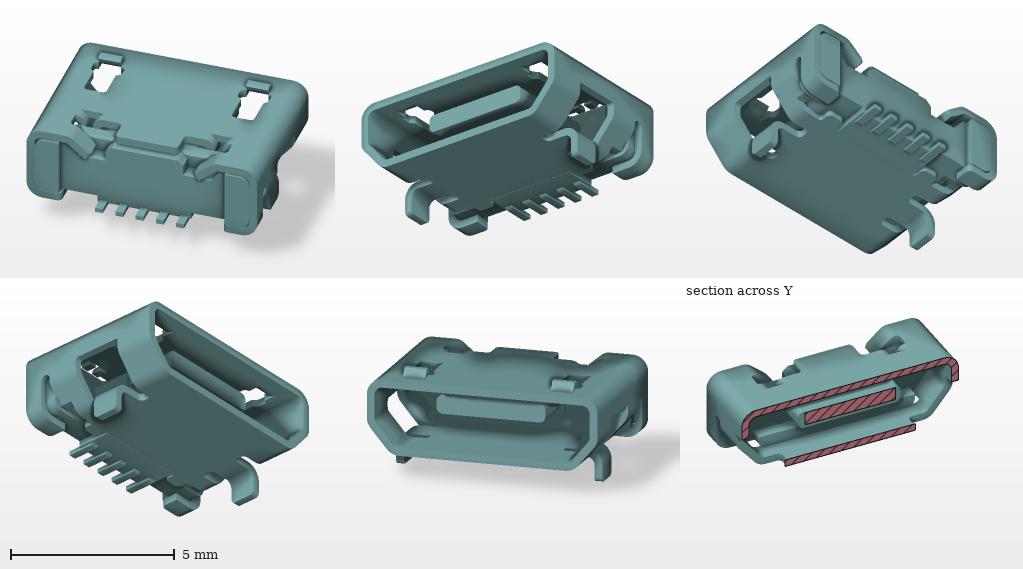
import cadquery as cq
import math


CLEARANCE = 0.075

WIDTH = 7.4
HALF_WIDTH = WIDTH / 2
LENGTH = 5.0
SHELL_TOP = 2.45
SHEET = 0.25
BEND = 2 * SHEET
INNER_HALF = HALF_WIDTH - SHEET
INNER_TOP = SHELL_TOP - SHEET

MOUTH_BOTTOM = 0.08
PLATE_TOP = MOUTH_BOTTOM + SHEET
TAPER_TOP = 1.03
MOUTH_BOTTOM_HALF = 2.91
MOUTH_FLAT_HALF = 2.67

SLOT_REAR = 0.61
SLOT_FRONT = 0.95
SLOT_TOP = 1.37
SLOT_ROUND = 0.16
BOTTOM_EDGE = 1.39
TAPER_NOTCH_TOP = 0.42
TAIL_REAR = 0.99
TAIL_INNER = 1.6
TAIL_OUTER = 2.205
TAIL_ROUND = 0.155
TAIL_ROOT_ROUND = 0.1
REAR_FLANGE_INNER = 2.59
FLANGE_ROUND = 0.16

OPEN_FRONT = 1.16
OPEN_SIDE = 2.52
OPEN_CHAMFER = 0.075
FLAP_FRONT = 0.66
TONGUE_REAR = 0.45
TONGUE_HALF = 1.01
TONGUE_ROUND = 0.13
CURL_FRONT = 1.5
CURL_INNER = 1.61
CURL_RADIUS = 0.35

FLAP_ROOT = 2.465
FLAP_TIP = 1.665
FLAP_ANGLE = math.radians(40)
FLAP_BEND = 0.4
FLAP_ROUND = 0.15

SPRING_INNER = 2.01
SPRING_OUTER = 2.73
SPRING_ROOT = 4.55
SPRING_RISE = 0.24
SPRING_ANGLE = math.radians(60)
SPRING_CHAMFER = 0.075
LATCH_REAR = 2.575
LATCH_FRONT = 4.05
LATCH_OUTER = 2.86
LATCH_INNER = 1.85
LATCH_NECK = 3.545
LATCH_WIDE_REAR = 3.69
LATCH_ROUND = 0.09
LATCH_INNER_ROUND = 0.16
LATCH_END_ROUND = 0.12

LEG_REAR = 2.42
LEG_FRONT = 3.315
LEG_OUTER = 3.31
LEG_BOTTOM = -0.695
LEG_ROUND = 0.15
LEG_BEND_X = LEG_OUTER - BEND
WINDOW_REAR = 2.005
WINDOW_FRONT = 3.71
WINDOW_TOP = 1.48
WINDOW_ROUND = 0.095
RELIEF_INNER = 2.16
RELIEF_ROUND = 0.155

HOUSING_REAR = 0.245
HOUSING_FRONT = 1.11
CENTER_HALF = 1.41
BASE_TOP = 0.74
HOUSING_TOP = 2.13
HOUSING_BOTTOM = 0.29
HOUSING_ROUND = 0.34
PILLAR_REAR = -0.02
PILLAR_INNER = 2.67
FOOT_BOTTOM = 0.075
FOOT_HALF = 1.5
POCKET_FLOOR = 1.63
POCKET_OUTER_TOP = 2.55
POCKET_OUTER_FOOT = 2.16
POCKET_INNER = 1.24
POCKET_LIP = 1.05
POCKET_LIP_FOOT = 1.96
POCKET_FRONT = 0.72
POCKET_BEVEL = 0.07
BEVEL_OUTER = 2.1
BLADE_HALF = 1.75
BLADE_BOTTOM = 1.28
BLADE_TOP = 1.865
BLADE_FRONT = 4.145
BLADE_ROUND = 0.2
GROOVE_REAR = 2.36
GROOVE_FRONT = 2.745
GROOVE_TOP = 1.405
NOTCH_DEPTH = 0.2

PIN_COUNT = 5
PIN_PITCH = 0.65
PIN_WIDTH = 0.25
PIN_THICK = 0.15
PIN_REAR = -0.215
PIN_FRONT = 0.75
PIN_ROUND = 0.14


def box(x0, x1, y0, y1, z0, z1):
    return cq.Workplane("XY").box(x1 - x0, y1 - y0, z1 - z0, centered=False).translate((x0, y0, z0))


def profile_along_y(points, y0):
    return cq.Workplane("XZ", origin=(0, y0, 0)).polyline(points).close()


def both_sides(left):
    return left.union(left.mirror("YZ"))


def corners_between(half_width, y, z0, z1):
    """Selector for edges near depth y, up to half_width on both sides of the middle."""
    reach = half_width + CLEARANCE
    return cq.selectors.BoxSelector((-reach, y - CLEARANCE, z0), (reach, y + CLEARANCE, z1))


def point_on(center, radius, angle):
    return (center[0] + radius * math.cos(angle), center[1] + radius * math.sin(angle))


def tube(points, y0, y1):
    """Bent sheet tube following a closed outline in the XZ plane."""
    outer = profile_along_y(points, y0).extrude(y0 - y1).edges("|Y").fillet(BEND)
    inner = profile_along_y(points, y0).offset2D(-SHEET).extrude(y0 - y1)
    return outer.cut(inner.edges("|Y").fillet(BEND - SHEET))


def shell_tubes():
    rear_outline = [
        (-HALF_WIDTH, SHELL_TOP),
        (HALF_WIDTH, SHELL_TOP),
        (HALF_WIDTH, 0),
        (-HALF_WIDTH, 0),
    ]
    mouth_outline = [
        (-HALF_WIDTH, SHELL_TOP),
        (HALF_WIDTH, SHELL_TOP),
        (HALF_WIDTH, TAPER_TOP),
        (MOUTH_BOTTOM_HALF, MOUTH_BOTTOM),
        (-MOUTH_BOTTOM_HALF, MOUTH_BOTTOM),
        (-HALF_WIDTH, TAPER_TOP),
    ]
    joint = (SLOT_REAR + SLOT_FRONT) / 2
    return tube(rear_outline, 0, joint).union(tube(mouth_outline, joint, LENGTH))


def rear_relief():
    """Side slots behind the mouth section and the opening between the rear flanges."""
    slot = box(-HALF_WIDTH, HALF_WIDTH, SLOT_REAR, SLOT_FRONT, -BEND, SLOT_TOP)
    slot = slot.edges("|X and >Z").fillet(SLOT_ROUND)
    opening = box(-REAR_FLANGE_INNER, REAR_FLANGE_INNER, -CLEARANCE, SLOT_REAR, -CLEARANCE, SHEET)
    return slot.union(opening)


def bottom_edge_cut():
    """Cut along the rear edge of the bottom plate that leaves two rounded tails."""
    cut = box(-HALF_WIDTH, HALF_WIDTH, SLOT_REAR, BOTTOM_EDGE, -CLEARANCE, TAPER_NOTCH_TOP)
    tail = box(-TAIL_OUTER, -TAIL_INNER, TAIL_REAR, BOTTOM_EDGE, -CLEARANCE, TAPER_NOTCH_TOP)
    tail = tail.edges("|Z and <Y").fillet(TAIL_ROUND)
    cut = cut.cut(both_sides(tail))
    roots = corners_between(TAIL_OUTER, BOTTOM_EDGE, -CLEARANCE, TAPER_NOTCH_TOP)
    return cut.edges("|Z").edges(roots).fillet(TAIL_ROOT_ROUND)


def top_opening():
    """Stepped cut through the rear of the top plate, leaving a central tongue."""
    wide = box(-OPEN_SIDE, OPEN_SIDE, FLAP_FRONT, OPEN_FRONT, INNER_TOP, SHELL_TOP)
    wide = wide.edges("|Z and <Y").chamfer(OPEN_CHAMFER)
    rear = box(-FLAP_ROOT, FLAP_ROOT, -CLEARANCE, FLAP_FRONT, INNER_TOP, SHELL_TOP)
    cut = wide.union(rear)
    tongue = box(-TONGUE_HALF, TONGUE_HALF, TONGUE_REAR, OPEN_FRONT, INNER_TOP, SHELL_TOP)
    cut = cut.cut(tongue.edges("|Z and <Y").fillet(TONGUE_ROUND))
    inner_corner = corners_between(TONGUE_HALF, OPEN_FRONT, INNER_TOP, SHELL_TOP)
    cut = cut.edges("|Z").edges(inner_corner).fillet(TONGUE_ROUND)
    curl_gap = box(-OPEN_SIDE, -CURL_INNER, OPEN_FRONT, CURL_FRONT, INNER_TOP, SHELL_TOP)
    return cut.union(both_sides(curl_gap))


def curls():
    """Pairs of quarter-round tabs rolled down toward each other."""
    width = CURL_FRONT - OPEN_FRONT

    def curl(axis_x):
        ring = cq.Workplane("XZ", origin=(axis_x, OPEN_FRONT, SHELL_TOP - CURL_RADIUS))
        return ring.circle(CURL_RADIUS).circle(CURL_RADIUS - SHEET).extrude(-width)

    gap = box(-OPEN_SIDE, -CURL_INNER, OPEN_FRONT, CURL_FRONT, SHELL_TOP - CURL_RADIUS, SHELL_TOP)
    return both_sides(curl(-OPEN_SIDE).union(curl(-CURL_INNER)).intersect(gap))


def flaps():
    """Top plate corners bent down and inward behind the housing."""
    center = (-FLAP_ROOT, SHELL_TOP - FLAP_BEND)
    up = math.pi / 2
    end = up - FLAP_ANGLE
    middle = up - FLAP_ANGLE / 2
    inner_bend = FLAP_BEND - SHEET
    upper_end = point_on(center, FLAP_BEND, end)
    lower_end = point_on(center, inner_bend, end)
    run = (-FLAP_TIP - upper_end[0]) / math.cos(FLAP_ANGLE)
    upper_tip = point_on(upper_end, run, -FLAP_ANGLE)
    lower_tip = point_on(lower_end, run, -FLAP_ANGLE)
    flap = (
        cq.Workplane("XZ")
        .moveTo(*point_on(center, FLAP_BEND, up))
        .threePointArc(point_on(center, FLAP_BEND, middle), upper_end)
        .lineTo(*upper_tip)
        .lineTo(*lower_tip)
        .lineTo(*lower_end)
        .threePointArc(point_on(center, inner_bend, middle), point_on(center, inner_bend, up))
        .close()
        .extrude(-FLAP_FRONT)
    )
    plan = box(-FLAP_ROOT, -FLAP_TIP, 0, FLAP_FRONT, 0, SHELL_TOP)
    return both_sides(flap.intersect(plan.edges("|Z and >X").fillet(FLAP_ROUND)))


def latch_openings():
    narrow = box(-SPRING_OUTER, -SPRING_INNER, LATCH_REAR, SPRING_ROOT, INNER_TOP, SHELL_TOP)
    narrow = narrow.edges("|Z and <Y").fillet(LATCH_END_ROUND)
    wide_outline = [
        (-LATCH_OUTER, LATCH_FRONT),
        (-LATCH_INNER, LATCH_FRONT),
        (-LATCH_INNER, LATCH_WIDE_REAR),
        (-SPRING_INNER, LATCH_NECK),
        (-SPRING_OUTER, LATCH_NECK),
        (-LATCH_OUTER, LATCH_WIDE_REAR),
    ]
    wide = cq.Workplane("XY", origin=(0, 0, INNER_TOP)).polyline(wide_outline).close().extrude(SHEET)
    wide = wide.edges("|Z and <X").fillet(LATCH_ROUND)
    wide = wide.edges("|Z and >X").fillet(LATCH_INNER_ROUND)
    return both_sides(narrow.union(wide))


def springs():
    """Latch arms curving up out of the top plate toward the rear."""
    center = (SPRING_ROOT, SHELL_TOP + SHEET)
    down = -math.pi / 2
    end = down - SPRING_ANGLE
    middle = down - SPRING_ANGLE / 2
    upper_bend = SHEET
    lower_bend = upper_bend + SHEET
    upper_end = point_on(center, upper_bend, end)
    lower_end = point_on(center, lower_bend, end)
    tip_z = SHELL_TOP + SPRING_RISE
    slope = math.tan(SPRING_ANGLE)
    upper_tip_y = upper_end[0] - (tip_z - upper_end[1]) / slope
    chamfer_z = tip_z - SPRING_CHAMFER
    lower_tip_y = lower_end[0] - (chamfer_z - lower_end[1]) / slope
    spring = (
        cq.Workplane("YZ", origin=(-SPRING_OUTER, 0, 0))
        .moveTo(*point_on(center, upper_bend, down))
        .threePointArc(point_on(center, upper_bend, middle), upper_end)
        .lineTo(upper_tip_y, tip_z)
        .lineTo(lower_tip_y + SPRING_CHAMFER, tip_z)
        .lineTo(lower_tip_y, chamfer_z)
        .lineTo(*lower_end)
        .threePointArc(point_on(center, lower_bend, middle), point_on(center, lower_bend, down))
        .close()
        .extrude(SPRING_OUTER - SPRING_INNER)
    )
    return both_sides(spring)


def side_windows():
    """Openings around the legs, with relief slots on both sides of each leg."""
    window = box(-HALF_WIDTH, -MOUTH_FLAT_HALF, WINDOW_REAR, WINDOW_FRONT, 0, WINDOW_TOP)
    cut = window.edges("|X and >Z").fillet(WINDOW_ROUND)
    for y0, y1 in ((WINDOW_REAR, LEG_REAR), (LEG_FRONT, WINDOW_FRONT)):
        relief = box(-HALF_WIDTH, -RELIEF_INNER, y0, y1, 0, PLATE_TOP)
        cut = cut.union(relief.edges("|Z and >X").fillet(RELIEF_ROUND))
    return both_sides(cut)


def legs():
    """Board legs rolled out of the bottom plate and turned straight down."""
    bend_z = PLATE_TOP - BEND
    width = LEG_FRONT - LEG_REAR
    ring = cq.Workplane("XZ", origin=(-LEG_BEND_X, LEG_REAR, bend_z))
    ring = ring.circle(BEND).circle(BEND - SHEET).extrude(-width)
    bend = ring.intersect(box(-LEG_OUTER, -LEG_BEND_X, LEG_REAR, LEG_FRONT, bend_z, PLATE_TOP))
    root = box(-LEG_BEND_X, -MOUTH_FLAT_HALF, LEG_REAR, LEG_FRONT, MOUTH_BOTTOM, PLATE_TOP)
    blade = box(-LEG_OUTER, -LEG_OUTER + SHEET, LEG_REAR, LEG_FRONT, LEG_BOTTOM, bend_z)
    blade = blade.edges("|X and <Z").fillet(LEG_ROUND)
    return both_sides(root.union(bend).union(blade))


def flap_pockets():
    """Pockets in the rear top of the housing that receive the bent flaps."""
    outline = [
        (-POCKET_OUTER_TOP, HOUSING_TOP),
        (-POCKET_OUTER_FOOT, POCKET_FLOOR),
        (-POCKET_INNER, POCKET_FLOOR),
        (-POCKET_INNER, POCKET_LIP_FOOT),
        (-POCKET_LIP, HOUSING_TOP),
    ]
    pocket = profile_along_y(outline, HOUSING_REAR).extrude(HOUSING_REAR - POCKET_FRONT)
    bevel = (
        cq.Workplane("YZ", origin=(-BEVEL_OUTER, 0, 0))
        .moveTo(POCKET_FRONT, HOUSING_TOP)
        .lineTo(POCKET_FRONT + POCKET_BEVEL, HOUSING_TOP)
        .lineTo(POCKET_FRONT, HOUSING_TOP - POCKET_BEVEL)
        .close()
        .extrude(BEVEL_OUTER - POCKET_LIP)
    )
    return both_sides(pocket.union(bevel))


def housing():
    """Plastic body with side pillars, a stepped front and the contact blade."""
    body = box(-INNER_HALF, INNER_HALF, PILLAR_REAR, SLOT_FRONT, HOUSING_BOTTOM, HOUSING_TOP)
    body = body.edges("|Y").fillet(HOUSING_ROUND)
    recess = box(-PILLAR_INNER, PILLAR_INNER, PILLAR_REAR, HOUSING_REAR, 0, SHELL_TOP)
    core = box(-PILLAR_INNER, PILLAR_INNER, SLOT_REAR, HOUSING_FRONT, BASE_TOP, HOUSING_TOP)
    center = box(-CENTER_HALF, CENTER_HALF, HOUSING_FRONT, OPEN_FRONT, BASE_TOP, HOUSING_TOP)
    base = box(-PILLAR_INNER, PILLAR_INNER, SLOT_REAR, CURL_FRONT, HOUSING_BOTTOM, BASE_TOP)
    base = base.edges("|Y and <Z").fillet(HOUSING_ROUND)
    foot = box(-FOOT_HALF, FOOT_HALF, HOUSING_REAR, BOTTOM_EDGE, FOOT_BOTTOM, HOUSING_BOTTOM)
    blade = box(-BLADE_HALF, BLADE_HALF, HOUSING_FRONT, BLADE_FRONT, BLADE_BOTTOM, BLADE_TOP)
    blade = blade.edges("|Y").fillet(BLADE_ROUND)
    groove = box(-BLADE_HALF, BLADE_HALF, GROOVE_REAR, GROOVE_FRONT, BLADE_BOTTOM, GROOVE_TOP)
    notch_x = -BLADE_HALF + NOTCH_DEPTH
    notch = box(-BLADE_HALF, notch_x, GROOVE_REAR, GROOVE_FRONT, BLADE_BOTTOM, BLADE_TOP)
    blade = blade.cut(groove).cut(both_sides(notch))
    body = body.cut(recess).union(core).union(center).union(base).cut(flap_pockets())
    return body.union(foot).union(blade)


def terminals():
    pins = cq.Workplane("XY")
    for index in range(PIN_COUNT):
        x = (index - (PIN_COUNT - 1) / 2) * PIN_PITCH
        pin = box(x - PIN_WIDTH / 2, x + PIN_WIDTH / 2, PIN_REAR, PIN_FRONT, 0, PIN_THICK)
        pins = pins.union(pin.edges("|X and >Y and <Z").fillet(PIN_ROUND))
    return pins


def shell():
    body = shell_tubes()
    for cut in (rear_relief(), bottom_edge_cut(), top_opening(), latch_openings(), side_windows()):
        body = body.cut(cut)
    flange_tips = corners_between(REAR_FLANGE_INNER, 0, 0, SHEET)
    body = body.edges("|Z and <Y").edges(flange_tips).fillet(FLANGE_ROUND)
    for part in (curls(), flaps(), springs(), legs()):
        body = body.union(part)
    return body


result = shell().union(housing()).union(terminals())